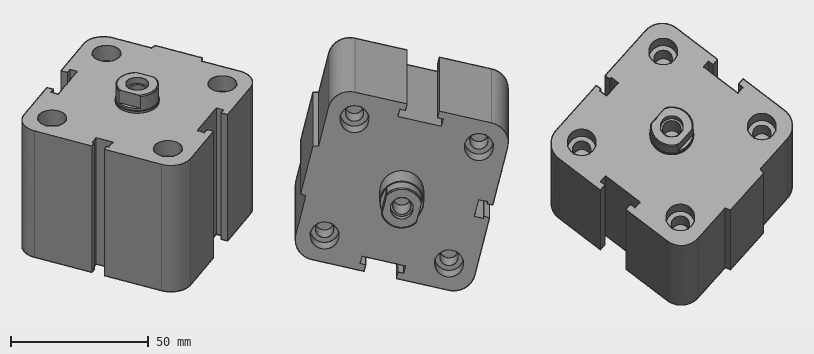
import cadquery as cq

HOUSING_SIDE = 67.0
HOUSING_HEIGHT = 55.5
CORNER_RADIUS = 8.0
HALF_SIDE = HOUSING_SIDE / 2
HALF_HEIGHT = HOUSING_HEIGHT / 2

TONGUE_BASE_WIDTH = 20.05
TONGUE_TIP_WIDTH = 18.9
TONGUE_HEIGHT = 2.0

SLOT_DEPTH = 5.55
SIDE_SLOT_MOUTH = 12.0
SIDE_SLOT_CAVITY = 16.3
SIDE_SLOT_LIP = 2.65
FRONT_SLOT_MOUTH = 5.0
FRONT_SLOT_CAVITY = 6.7
FRONT_SLOT_LIP = 2.2

MOUNT_SPACING = 46.5
MOUNT_BORE_DIAMETER = 10.5
MOUNT_BORE_DEPTH = 6.7
MOUNT_PILOT_DIAMETER = 6.7
MOUNT_DEPTH = 14.5

ROD_LENGTH = 80.5
ROD_PROJECTION_TOP = 7.6
ROD_TOP = HOUSING_HEIGHT + ROD_PROJECTION_TOP
ROD_MIDDLE = ROD_TOP - ROD_LENGTH / 2
ROD_DIAMETER = 16.0
TIP_DIAMETER = 15.6
TIP_LENGTH = 6.5
TIP_CHAMFER = 0.4
SHOULDER_CHAMFER = (ROD_DIAMETER - TIP_DIAMETER) / 2
FLATS_WIDTH = 13.0
FLATS_LENGTH = 5.55

SOCKET_MOUTH_DIAMETER = 8.3
SOCKET_MOUTH_DEPTH = 2.65
SOCKET_DIAMETER = 6.7
SOCKET_DEPTH = 12.1


def with_mirror_copy(shape, middle_z):
    """The shape together with its mirror image in the horizontal plane at middle_z."""
    return shape.union(shape.mirror("XY", (0, 0, middle_z)))


def blind_stepped_hole(top_z, mouth_diameter, mouth_depth, diameter, depth):
    """Cutter for a hole on the Z axis that opens upward at top_z."""
    top = cq.Workplane("XY").workplane(offset=top_z)
    mouth = top.circle(mouth_diameter / 2).extrude(-mouth_depth)
    core = top.circle(diameter / 2).extrude(-depth)
    return mouth.union(core)


def tongue():
    """Ridge on the +Y face, narrowing outward."""
    return (
        cq.Workplane("XY")
        .polyline([
            (-TONGUE_BASE_WIDTH / 2, HALF_SIDE),
            (TONGUE_BASE_WIDTH / 2, HALF_SIDE),
            (TONGUE_TIP_WIDTH / 2, HALF_SIDE + TONGUE_HEIGHT),
            (-TONGUE_TIP_WIDTH / 2, HALF_SIDE + TONGUE_HEIGHT),
        ])
        .close()
        .extrude(HOUSING_HEIGHT)
    )


def t_slot(mouth, cavity, lip, angle):
    """Cutter for a T-slot in the -Y face, turned by angle about the Z axis."""
    face_y = -HALF_SIDE
    centered_in_x = (True, False, False)
    opening = cq.Workplane("XY").box(mouth, SLOT_DEPTH, HOUSING_HEIGHT, centered=centered_in_x)
    undercut = (
        cq.Workplane("XY")
        .box(cavity, SLOT_DEPTH - lip, HOUSING_HEIGHT, centered=centered_in_x)
        .translate((0, lip, 0))
    )
    slot = opening.union(undercut).translate((0, face_y, 0))
    return slot.rotate((0, 0, 0), (0, 0, 1), angle)


def make_housing():
    body = (
        cq.Workplane("XY")
        .rect(HOUSING_SIDE, HOUSING_SIDE)
        .extrude(HOUSING_HEIGHT)
        .edges("|Z")
        .fillet(CORNER_RADIUS)
        .union(tongue())
    )

    body = body.cut(t_slot(FRONT_SLOT_MOUTH, FRONT_SLOT_CAVITY, FRONT_SLOT_LIP, 0))
    for angle in (-90, 90):
        body = body.cut(t_slot(SIDE_SLOT_MOUTH, SIDE_SLOT_CAVITY, SIDE_SLOT_LIP, angle))

    mount_hole = blind_stepped_hole(
        HOUSING_HEIGHT, MOUNT_BORE_DIAMETER, MOUNT_BORE_DEPTH, MOUNT_PILOT_DIAMETER, MOUNT_DEPTH
    )
    mount_pair = with_mirror_copy(mount_hole, HALF_HEIGHT)
    for x in (-MOUNT_SPACING / 2, MOUNT_SPACING / 2):
        for y in (-MOUNT_SPACING / 2, MOUNT_SPACING / 2):
            body = body.cut(mount_pair.translate((x, y, 0)))

    rod_bore = cq.Workplane("XY").circle(ROD_DIAMETER / 2).extrude(HOUSING_HEIGHT)
    return body.cut(rod_bore)


def rod_flats():
    """Cutter for the two wrench flats at the top end, facing -Y and +Y."""
    top = cq.Workplane("XY").workplane(offset=ROD_TOP)
    around = top.rect(2 * ROD_DIAMETER, 2 * ROD_DIAMETER).extrude(-FLATS_LENGTH)
    kept = top.rect(2 * ROD_DIAMETER, FLATS_WIDTH).extrude(-FLATS_LENGTH)
    return around.cut(kept)


def upper_rod_half():
    """Rod from its middle plane to its top end."""
    shank_length = ROD_LENGTH / 2 - TIP_LENGTH
    shank = (
        cq.Workplane("XY")
        .workplane(offset=ROD_MIDDLE)
        .circle(ROD_DIAMETER / 2)
        .extrude(shank_length)
        .faces(">Z")
        .chamfer(SHOULDER_CHAMFER)
    )
    tip = (
        cq.Workplane("XY")
        .workplane(offset=ROD_MIDDLE + shank_length)
        .circle(TIP_DIAMETER / 2)
        .extrude(TIP_LENGTH)
        .faces(">Z")
        .chamfer(TIP_CHAMFER)
    )
    socket = blind_stepped_hole(
        ROD_TOP, SOCKET_MOUTH_DIAMETER, SOCKET_MOUTH_DEPTH, SOCKET_DIAMETER, SOCKET_DEPTH
    )
    return shank.union(tip).cut(rod_flats()).cut(socket)


housing = make_housing()
rod = with_mirror_copy(upper_rod_half(), ROD_MIDDLE).clean()

result = cq.Compound.makeCompound([housing.solids().val(), rod.solids().val()])